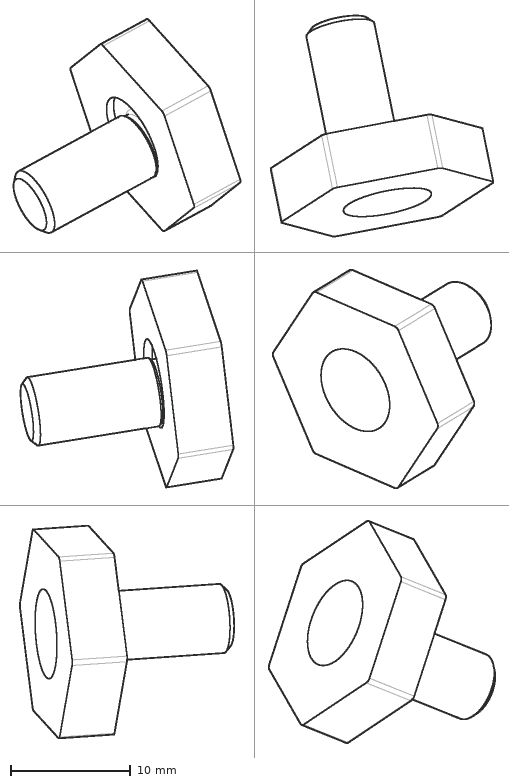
import cadquery as cq
import math

overall_width = 18.16
nut_thickness = 4.75
corner_radius = 0.49
bore_diameter = 7.55

overall_length = 15.95
face_recess = 0.73
eccentricity = 1.0
shaft_diameter = 5.85
neck_diameter = 5.45
root_fillet = 0.3
shaft_start = 0.29
tip_chamfer = 0.49

corner_loss = corner_radius * (1 / math.cos(math.pi / 6) - 1)
across_corners = overall_width + 2 * corner_loss

shaft_radius = shaft_diameter / 2
neck_radius = neck_diameter / 2
shaft_end = overall_length - nut_thickness
neck_chamfer = shaft_radius - neck_radius


def rod(diameter, front, back):
    """Cylinder centred on the nut axis, between two Y positions."""
    return cq.Workplane("XZ", origin=(0, back, 0)).circle(diameter / 2).extrude(back - front)


def make_nut():
    blank = (
        cq.Workplane("XZ", origin=(0, nut_thickness, 0))
        .polygon(6, across_corners)
        .extrude(nut_thickness)
        .edges("|Y")
        .fillet(corner_radius)
    )
    return blank.cut(rod(bore_diameter, 0, nut_thickness))


def make_shaft():
    """Revolved shaft with a filleted root, a relief neck and a chamfered tip."""
    fillet_end = face_recess - root_fillet
    fillet_centre_x = neck_radius + root_fillet
    fillet_middle = root_fillet * math.sqrt(0.5)
    profile = (
        cq.Workplane("XY")
        .moveTo(0, face_recess)
        .lineTo(fillet_centre_x, face_recess)
        .threePointArc(
            (fillet_centre_x - fillet_middle, fillet_end + fillet_middle),
            (neck_radius, fillet_end),
        )
        .lineTo(neck_radius, neck_chamfer - shaft_start)
        .lineTo(shaft_radius, -shaft_start)
        .lineTo(shaft_radius, tip_chamfer - shaft_end)
        .lineTo(shaft_radius - tip_chamfer, -shaft_end)
        .lineTo(0, -shaft_end)
        .close()
    )
    return profile.revolve(360, (0, 0), (0, 1)).translate((eccentricity, 0, 0))


def make_eccentric_pin():
    disc = rod(bore_diameter, face_recess, nut_thickness)
    bore_envelope = rod(bore_diameter, 0, nut_thickness)
    front_envelope = rod(overall_width, -shaft_end, 0)
    shaft = make_shaft().intersect(bore_envelope.union(front_envelope))
    return disc.union(shaft)


nut = make_nut()
eccentric_pin = make_eccentric_pin()

result = cq.Compound.makeCompound([*nut.solids().vals(), *eccentric_pin.solids().vals()])